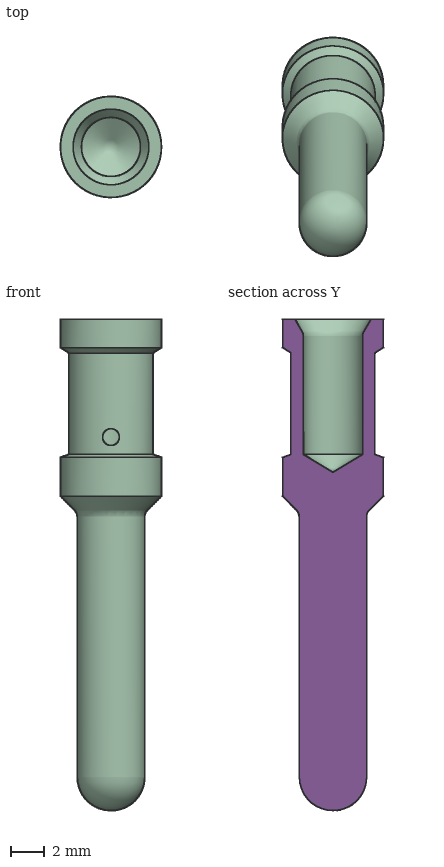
import cadquery as cq
import math

total_length = 29.1
collar_radius = 3.0
barrel_radius = 2.5
pin_radius = 2.0

collar_height = 1.7
collar_bottom = total_length - collar_height
flange_height = 2.3
flange_top = 20.92
flange_bottom = flange_top - flange_height
taper_height = collar_radius - pin_radius
taper_bottom = flange_bottom - taper_height

pin_fillet = 0.5

flange_shoulder_height = 0.17
collar_shoulder_height = 0.32

bore_radius = 1.75
bore_depth = 8.0
mouth_radius = 2.25
mouth_half_angle = 30.0
mouth_fillet = 0.5
drill_point_angle = 118.0

sight_hole_diameter = 1.0
sight_hole_depth = 6.98


def add_fillet(solid, radius, corner_radius, corner_height):
    """Round the circular edge at the given radius and height."""
    edge_margin = 0.03
    half_width = corner_radius + edge_margin
    edge = cq.selectors.BoxSelector(
        (-half_width, -half_width, corner_height - edge_margin),
        (half_width, half_width, corner_height + edge_margin),
        boundingbox=True,
    )
    return solid.edges(edge).fillet(radius)


def make_body():
    """Revolve the outer outline and round the corner where the taper meets the pin."""
    tip_arc_offset = pin_radius * math.sqrt(0.5)
    body = (
        cq.Workplane("XZ")
        .moveTo(0, 0)
        .threePointArc((tip_arc_offset, pin_radius - tip_arc_offset), (pin_radius, pin_radius))
        .lineTo(pin_radius, taper_bottom)
        .lineTo(collar_radius, flange_bottom)
        .lineTo(collar_radius, flange_top)
        .lineTo(barrel_radius, flange_top + flange_shoulder_height)
        .lineTo(barrel_radius, collar_bottom - collar_shoulder_height)
        .lineTo(collar_radius, collar_bottom)
        .lineTo(collar_radius, total_length)
        .lineTo(0, total_length)
        .close()
        .revolve(360, (0, 0, 0), (0, 1, 0))
    )
    return add_fillet(body, pin_fillet, pin_radius, taper_bottom)


def make_socket():
    """Drilled bore with a conical floor and a flared mouth."""
    floor_edge = total_length - bore_depth
    floor_point = floor_edge - bore_radius / math.tan(math.radians(drill_point_angle / 2))
    mouth_depth = (mouth_radius - bore_radius) / math.tan(math.radians(mouth_half_angle))
    mouth_bottom = total_length - mouth_depth
    socket = (
        cq.Workplane("XZ")
        .moveTo(0, floor_point)
        .lineTo(bore_radius, floor_edge)
        .lineTo(bore_radius, mouth_bottom)
        .lineTo(mouth_radius, total_length)
        .lineTo(0, total_length)
        .close()
        .revolve(360, (0, 0, 0), (0, 1, 0))
    )
    return add_fillet(socket, mouth_fillet, bore_radius, mouth_bottom)


def make_sight_hole():
    """Radial hole from the socket axis out through the -Y wall."""
    return (
        cq.Workplane("XZ")
        .center(0, total_length - sight_hole_depth)
        .circle(sight_hole_diameter / 2)
        .extrude(collar_radius)
    )


result = make_body().cut(make_socket()).cut(make_sight_hole())